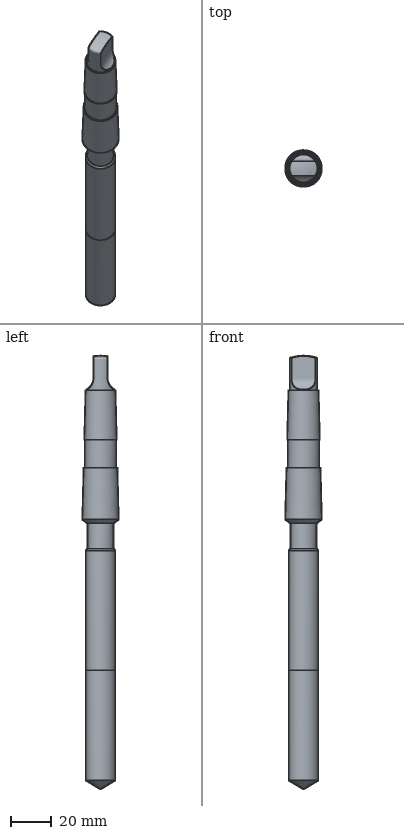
import cadquery as cq
import math

total_length = 212.0
cutting_length = 58.0
body_end = 116.5
collar_z = 131.9
recess_bottom = 157.0
recess_top = 170.9
shoulder_z = 195.0

drill_diameter = 14.6
neck_diameter = 13.0
point_angle = 118.0
point_height = drill_diameter / 2 / math.tan(math.radians(point_angle / 2))
collar_chamfer_height = 2.0
body_chamfer_height = 1.0

collar_diameter = 18.0
taper_per_length = 0.05
recess_diameter = 15.5

tang_diameter = 13.5
tang_thickness = 7.0
tang_runout_radius = 6.4
tang_runout_z = 201.0
tang_edge_radius = 1.0
tang_dome_height = 0.8


def taper_radius(z):
    """Radius of the tapered shank at height z."""
    return (collar_diameter - taper_per_length * (z - collar_z)) / 2


def make_cutting_part():
    """Lower length of the drill, ending in the conical point."""
    radius = drill_diameter / 2
    profile = (
        cq.Workplane("XZ")
        .moveTo(0, 0)
        .lineTo(radius, point_height)
        .lineTo(radius, cutting_length)
        .lineTo(0, cutting_length)
        .close()
    )
    return profile.revolve(360, (0, 0), (0, 1))


def make_turned_shank():
    """Drill body, neck, collar, taper and round tang before its flats are cut."""
    tang_radius = tang_diameter / 2
    dome_edge_z = total_length - tang_dome_height
    dome_edge_radius = tang_radius - tang_edge_radius
    dome_radius = (dome_edge_radius**2 + tang_dome_height**2) / (2 * tang_dome_height)
    profile = (
        cq.Workplane("XZ")
        .moveTo(0, cutting_length)
        .lineTo(drill_diameter / 2, cutting_length)
        .lineTo(drill_diameter / 2, body_end)
        .lineTo(neck_diameter / 2, body_end + body_chamfer_height)
        .lineTo(neck_diameter / 2, collar_z - collar_chamfer_height)
        .lineTo(collar_diameter / 2, collar_z)
        .lineTo(taper_radius(recess_bottom), recess_bottom)
        .lineTo(recess_diameter / 2, recess_bottom)
        .lineTo(recess_diameter / 2, recess_top)
        .lineTo(taper_radius(recess_top), recess_top)
        .lineTo(taper_radius(shoulder_z), shoulder_z)
        .lineTo(tang_radius, shoulder_z)
        .lineTo(tang_radius, dome_edge_z - tang_edge_radius)
        .radiusArc((dome_edge_radius, dome_edge_z), -tang_edge_radius)
        .radiusArc((0, total_length), -dome_radius)
        .close()
    )
    return profile.revolve(360, (0, 0), (0, 1))


def make_tang_cutter(side):
    """Material removed beside the tang on one side (+1 or -1 in Y), with a round runout."""
    flat_y = side * tang_thickness / 2
    runout_y = flat_y + side * tang_runout_radius
    cutter_top = total_length + collar_diameter
    return (
        cq.Workplane("YZ")
        .moveTo(flat_y, cutter_top)
        .lineTo(flat_y, tang_runout_z)
        .radiusArc((runout_y, tang_runout_z - tang_runout_radius), -side * tang_runout_radius)
        .lineTo(runout_y, cutter_top)
        .close()
        .extrude(collar_diameter / 2, both=True)
    )


def make_shank():
    """Taper shank with both tang flats cut."""
    shank = make_turned_shank()
    for side in (1, -1):
        shank = shank.cut(make_tang_cutter(side))
    return shank


cutting_part = make_cutting_part()
shank = make_shank()
result = cq.Compound.makeCompound([cutting_part.val(), shank.val()])